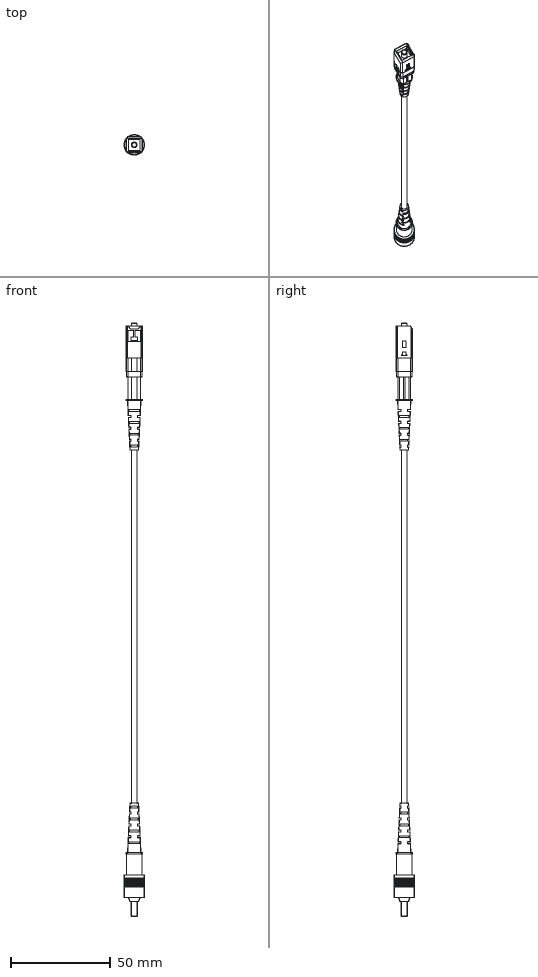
import cadquery as cq

overall_length = 299.64

cable_radius = 1.5

plug_ferrule_radius = 1.58
plug_ferrule_chamfer = 0.3
cone_bottom = 7.6
cone_small_radius = 2.2
cone_large_radius = 2.9
nut_bottom = 9.6
nut_top = 21.1
nut_radius = 10.3 / 2
knurl_bottom = 15.0
knurl_top = 19.6
knurl_depth = 0.25
knurl_count = 48
sleeve_radius = 4.0
plug_rear = 31.7

boot_length = 25.6
boot_flange_radius = 4.1
boot_flange_thickness = 0.6
boot_large_radius = 3.4
boot_small_radius = 2.2
slot_count = 7
slot_pitch = 3.0
slot_height = 0.9
first_slot = 5.6
slot_web = 1.7

latch_ferrule_radius = 1.4
latch_ferrule_chamfer = 0.3
housing_top = overall_length - 1.5
housing_bottom = 281.9
housing_half_width = 4.1
housing_chamfer = 0.8
nose_drop = 1.6
nose_depth = 0.9
mouth_half_width = 2.8
mouth_depth = 4.0

ramp_top_half_width = 3.2
ramp_bottom_half_width = 1.8
ramp_length = 1.6
ramp_top_depth = 0.7
ramp_bottom_depth = 0.05
window_bottom = 290.2
window_top = 295.8
window_half_width = 3.2
window_depth = 0.7
pad_half_width = 1.6
pad_bottom = 290.9
pad_height = 1.8
rib_half_width = 0.5

side_opening_half_width = 0.8
side_opening_bottom = 287.3
side_opening_top = 290.5
side_notch_bottom = 283.3
side_notch_top = 285.0
side_notch_flare_height = 0.7
side_notch_flare_half_width = 1.5
side_opening_depth = 0.5

shell_bottom = 272.5
collar_chamfer = 0.9
collar_step_height = 275.2
collar_step_depth = 0.1
collar_slot_half_width = 1.4
collar_slot_depth = 0.5
grip_half_width = 3.25
grip_front_half_width = 1.4
grip_side_half_width = 2.4
grip_slot_half_width = 0.4
grip_slot_depth = 0.5
latch_rear = 261.1


def octagon_prism(half_width, chamfer, bottom, top):
    """Square prism whose four upright edges are cut at 45 degrees."""
    width = 2 * half_width
    prism = cq.Workplane("XY").workplane(offset=bottom).rect(width, width).extrude(top - bottom)
    return prism.edges("|Z").chamfer(chamfer)


def rod(radius, bottom, top):
    return cq.Workplane("XY").workplane(offset=bottom).circle(radius).extrude(top - bottom)


def block(half_width, depth, bottom, top):
    """Block of the given depth lying just inside the -Y face of the housing."""
    return (
        cq.Workplane("XY")
        .workplane(offset=bottom)
        .center(0, depth / 2 - housing_half_width)
        .rect(2 * half_width, depth)
        .extrude(top - bottom)
    )


cable = rod(cable_radius, plug_rear, latch_rear)


def make_boot():
    """Tapered boot standing on its flange at Z = 0, slotted alternately from Y and from X."""
    boot = (
        cq.Workplane("XZ")
        .moveTo(cable_radius, 0)
        .lineTo(boot_flange_radius, 0)
        .lineTo(boot_flange_radius, boot_flange_thickness)
        .lineTo(boot_large_radius, boot_flange_thickness)
        .lineTo(boot_small_radius, boot_length)
        .lineTo(cable_radius, boot_length)
        .close()
        .revolve(360, (0, 0, 0), (0, 1, 0))
    )
    for index in range(slot_count):
        turn = 90 * (index % 2)
        height = first_slot + index * slot_pitch
        for side in (0, 180):
            slot = (
                cq.Workplane("XY")
                .box(4 * boot_large_radius, boot_large_radius, slot_height, centered=(True, False, True))
                .translate((0, slot_web, height))
                .rotate((0, 0, 0), (0, 0, 1), turn + side)
            )
            boot = boot.cut(slot)
    return boot


lower_boot = make_boot().translate((0, 0, plug_rear))
upper_boot = make_boot().rotate((0, 0, 0), (1, 0, 0), 180).translate((0, 0, latch_rear))


plug_body = (
    cq.Workplane("XZ")
    .lineTo(plug_ferrule_radius - plug_ferrule_chamfer, 0)
    .lineTo(plug_ferrule_radius, plug_ferrule_chamfer)
    .lineTo(plug_ferrule_radius, cone_bottom)
    .lineTo(cone_small_radius, cone_bottom)
    .lineTo(cone_large_radius, nut_bottom)
    .lineTo(cone_large_radius, nut_top)
    .lineTo(sleeve_radius, nut_top)
    .lineTo(sleeve_radius, plug_rear)
    .lineTo(0, plug_rear)
    .close()
    .revolve(360, (0, 0, 0), (0, 1, 0))
)


def make_nut():
    """Coupling nut with a band of upright square-cut knurl grooves."""
    nut = rod(nut_radius, nut_bottom, nut_top).cut(rod(cone_large_radius, nut_bottom, nut_top))
    grooves = (
        cq.Workplane("XY")
        .workplane(offset=knurl_bottom)
        .polarArray(nut_radius, 0, 360, knurl_count)
        .rect(2 * knurl_depth, 2 * knurl_depth)
        .extrude(knurl_top - knurl_bottom)
    )
    return nut.cut(grooves)


nut = make_nut()


latch_ferrule = rod(latch_ferrule_radius, housing_bottom, overall_length)
latch_ferrule = latch_ferrule.faces(">Z").chamfer(latch_ferrule_chamfer)


def mouth_ramp():
    """Wedge, deepest at the housing top, that narrows downwards in the -Y face."""
    outer_face = cq.Workplane("XY").workplane(offset=housing_top).center(0, -housing_half_width)
    return (
        outer_face.rect(2 * ramp_top_half_width, 2 * ramp_top_depth)
        .workplane(offset=-ramp_length)
        .rect(2 * ramp_bottom_half_width, 2 * ramp_bottom_depth)
        .loft()
    )


def front_window():
    """Shallow window in the -Y face, around a standing pad and a rib that runs up from it."""
    window = block(window_half_width, window_depth, window_bottom, window_top)
    pad = block(pad_half_width, window_depth, pad_bottom, pad_bottom + pad_height)
    rib = block(rib_half_width, window_depth, pad_bottom + pad_height, window_top)
    return window.cut(pad).cut(rib)


def side_openings():
    """Straight opening and flared notch, cut to the same depth in both X faces."""
    flare_top = side_notch_bottom + side_notch_flare_height
    height = side_opening_top - side_opening_bottom
    opening = (
        cq.Workplane("YZ")
        .center(0, side_opening_bottom + height / 2)
        .rect(2 * side_opening_half_width, height)
        .extrude(housing_half_width, both=True)
    )
    notch_outline = [
        (-side_notch_flare_half_width, side_notch_bottom),
        (side_notch_flare_half_width, side_notch_bottom),
        (side_opening_half_width, flare_top),
        (side_opening_half_width, side_notch_top),
        (-side_opening_half_width, side_notch_top),
        (-side_opening_half_width, flare_top),
    ]
    notch = cq.Workplane("YZ").polyline(notch_outline).close().extrude(housing_half_width, both=True)
    core_half_width = housing_half_width - side_opening_depth
    core = octagon_prism(core_half_width, housing_chamfer, housing_bottom, housing_top)
    return opening.union(notch).cut(core)


def make_housing():
    housing = octagon_prism(housing_half_width, housing_chamfer, housing_bottom, housing_top)
    nose = (
        cq.Workplane("YZ")
        .moveTo(housing_half_width, housing_top)
        .lineTo(housing_half_width - nose_depth, housing_top)
        .lineTo(housing_half_width, housing_top - nose_drop)
        .close()
        .extrude(housing_half_width, both=True)
    )
    mouth_width = 2 * mouth_half_width
    mouth = (
        cq.Workplane("XY")
        .workplane(offset=housing_top - mouth_depth)
        .rect(mouth_width, mouth_width)
        .extrude(mouth_depth)
    )
    bore = rod(latch_ferrule_radius, housing_bottom, housing_top)
    for cutter in (nose, mouth, bore, mouth_ramp(), front_window(), side_openings()):
        housing = housing.cut(cutter)
    return housing


housing = make_housing()


def make_collar():
    """Chamfered square collar, stepped in at its lower end, with an upright slot in each Y face."""
    upper = octagon_prism(housing_half_width, collar_chamfer, collar_step_height, housing_bottom)
    lower_half_width = housing_half_width - collar_step_depth
    lower = octagon_prism(lower_half_width, collar_chamfer, shell_bottom, collar_step_height)
    collar = upper.union(lower)
    slot = block(collar_slot_half_width, collar_slot_depth, collar_step_height, housing_bottom)
    return collar.cut(slot).cut(slot.mirror("XZ"))


def make_grip():
    """Eight-sided grip with a narrow upright slot in each X face."""
    quarter = [(grip_half_width, grip_side_half_width), (grip_front_half_width, grip_half_width)]
    half = quarter + [(-x, y) for x, y in reversed(quarter)]
    outline = half + [(-x, -y) for x, y in half]
    height = shell_bottom - latch_rear
    grip = cq.Workplane("XY").workplane(offset=latch_rear).polyline(outline).close().extrude(height)
    slots = (
        cq.Workplane("XY")
        .workplane(offset=latch_rear)
        .pushPoints([(-grip_half_width, 0), (grip_half_width, 0)])
        .rect(2 * grip_slot_depth, 2 * grip_slot_half_width)
        .extrude(height)
    )
    return grip.cut(slots)


shell = make_collar().union(make_grip())

result = cq.Compound.makeCompound([
    cable.val(),
    lower_boot.val(),
    upper_boot.val(),
    plug_body.val(),
    nut.val(),
    latch_ferrule.val(),
    housing.val(),
    shell.val(),
])